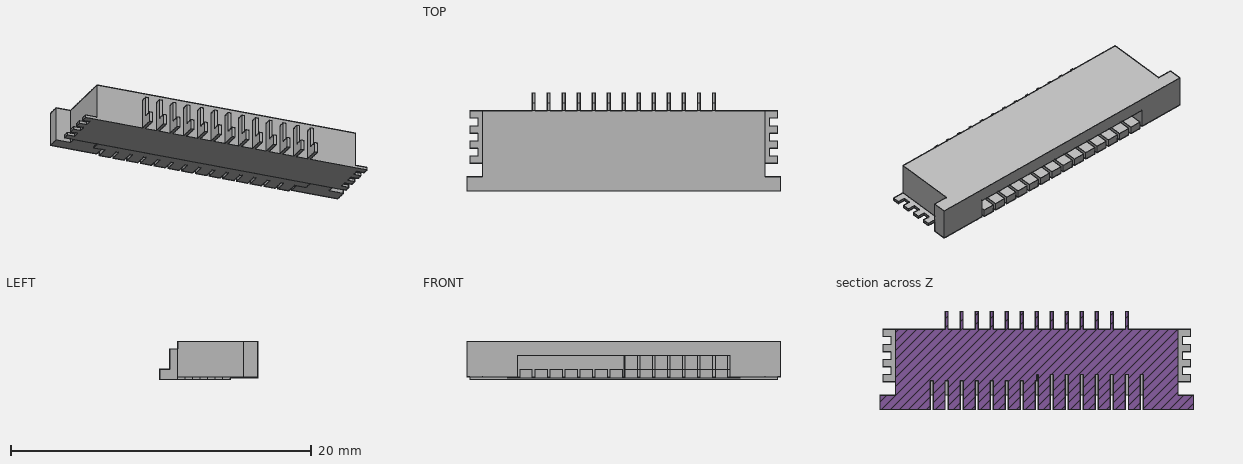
import cadquery as cq


bar_length = 20.92
bar_depth = 0.96
body_length = 18.83
body_back = 5.35
housing_bottom = 0.19
height = 2.55

opening_length = 14.18
opening_top = 1.6
opening_depth = 1.9

contact_count = 13
contact_row_length = 12.0
pitch = contact_row_length / (contact_count - 1)
contact_width = 0.2
contact_back = 6.55
upright_back = 5.88
upright_top = 2.05
foot_top = 0.7

block_count = contact_count + 1
block_gap = 0.19
block_width = pitch - block_gap
block_bottom = 0.1
block_top = 0.67

groove_depth_high = 0.2
groove_depth_low = 0.42

under_plate_length = 15.48

tooth_width = 0.5
teeth_per_side = 4
plate_length = 20.5
notch_depth = 0.52
plate_front = body_back - (2 * teeth_per_side - 1) * tooth_width


def box(x_min, x_max, y_min, y_max, z_min, z_max):
    size = (x_max - x_min, y_max - y_min, z_max - z_min)
    return cq.Workplane("XY").box(*size, centered=False).translate((x_min, y_min, z_min))


def centered_box(length, y_min, y_max, z_min, z_max, x=0):
    return box(x - length / 2, x + length / 2, y_min, y_max, z_min, z_max)


def centered_row(count):
    return [(i - (count - 1) / 2) * pitch for i in range(count)]


def make_housing():
    bar = centered_box(bar_length, 0, bar_depth, housing_bottom, height)
    body = centered_box(body_length, 0, body_back, housing_bottom, height)
    opening = centered_box(opening_length, 0, opening_depth, housing_bottom, opening_top)
    return bar.union(body).cut(opening)


def make_grooves():
    grooves = cq.Workplane("XY")
    high_back = opening_depth + groove_depth_high
    low_back = opening_depth + groove_depth_low
    for i in range(block_count // 2 + 1):
        x_min = max(0, i * pitch - block_gap / 2)
        x_max = min(opening_length / 2, i * pitch + block_gap / 2)
        grooves = grooves.union(box(x_min, x_max, opening_depth, high_back, block_top, opening_top))
        grooves = grooves.union(box(x_min, x_max, opening_depth, low_back, housing_bottom, block_top))
    return grooves


def make_blocks():
    blocks = cq.Workplane("XY")
    for x in centered_row(block_count):
        blocks = blocks.union(centered_box(block_width, 0, opening_depth, block_bottom, block_top, x))
    return blocks


def make_solder_plate():
    plate = centered_box(plate_length, plate_front, body_back, 0, housing_bottom)
    tooth_end = plate_length / 2
    notch_floor = tooth_end - notch_depth
    for i in range(teeth_per_side - 1):
        y_min = plate_front + (2 * i + 1) * tooth_width
        y_max = y_min + tooth_width
        plate = plate.cut(box(-tooth_end, -notch_floor, y_min, y_max, 0, housing_bottom))
        plate = plate.cut(box(notch_floor, tooth_end, y_min, y_max, 0, housing_bottom))
    return plate


def make_contacts():
    contacts = cq.Workplane("XY")
    for x in centered_row(contact_count):
        upright = centered_box(contact_width, body_back, upright_back, 0, upright_top, x)
        foot = centered_box(contact_width, body_back, contact_back, 0, foot_top, x)
        contacts = contacts.union(upright.union(foot))
    return contacts


under_plate = centered_box(under_plate_length, bar_depth, plate_front, block_bottom, housing_bottom)

result = (
    make_housing()
    .cut(make_grooves())
    .union(make_solder_plate())
    .union(under_plate)
    .union(make_blocks())
    .union(make_contacts())
)